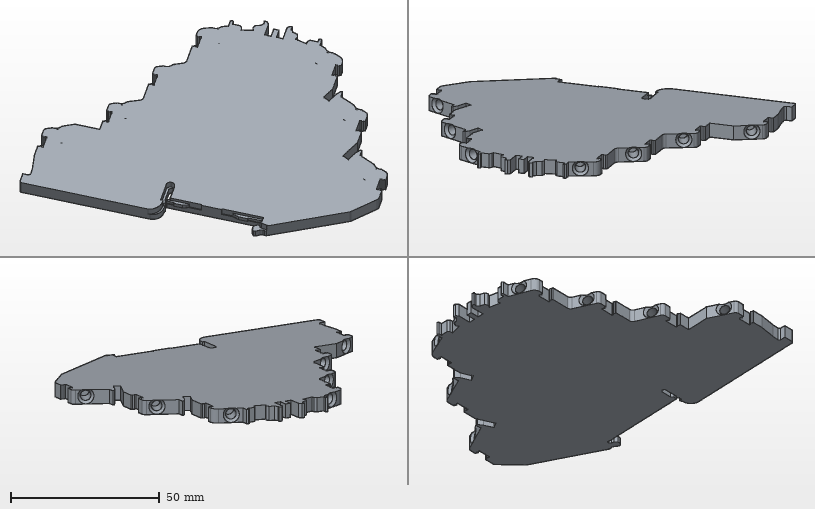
import cadquery as cq
import math

THICKNESS = 5.0
MID_Z = THICKNESS / 2

NOTCH_HEIGHT = 4.7
NOTCH_DEPTH = 1.9
RIDGE_RADIUS = 0.4
RIDGE_INSET = 1.0

FUNNEL_Z = 2.8
FUNNEL_RADIUS = 2.7
FUNNEL_DEPTH = 1.0
WIRE_HOLE_RADIUS = 1.8
WIRE_HOLE_DEPTH = 7.1
FUNNEL_OFFSET = 4.5
TOP_FUNNEL_OFFSET = 6.2

BASE_ROUND = 0.7
SHOULDER_ROUND = 1.5
TOP_SHOULDER_ROUND = 2.6

LEFT_WALLS = [1.5, 19.7, 30.1, 39.7]
RIGHT_WALLS = [118.6, 104.9]
TOP_CENTER_X = 65.1
TOP_RIGHT_WALL = 2 * TOP_CENTER_X - LEFT_WALLS[3]

LEFT_NOTCH_Y = [17.3, 34.0, 54.1, 74.5]
RIGHT_NOTCH_Y = [29.2, 52.6]

MARKER_SLOT_CORNER = (88.6, 64.1)
MARKER_SLOT_STEP = (13.3, -23.6)

BASE_CORNER_RADIUS = 3.8
BASE_END_X = 49.3
RAIL_Y = 6.4
RAIL_RIGHT_X = 83.0
UPPER_RAIL_Y = 6.8
UPPER_RECESS_LEFT = (49.8, 61.8)
UPPER_RECESS_RIGHT = (68.9, 83.4)
SLOT_TOP_Y = 13.2
SLOT_LEFT_X = 48.7
SLOT_RIGHT_X = 50.4
UPPER_SLOT_LEFT_X = 47.9
UPPER_SLOT_RIGHT_X = 50.7
UPPER_SLOT_TOP_Y = 13.6
UPPER_SLOT_BOTTOM_Y = 5.2
FOOT_TOP_Z = 3.9
FOOT_Y = 6.0
BUMP_Y = 5.7
UPPER_SLOT_ROUND = 1.3

UPPER_BASE_START = (44.8, 0)
UPPER_BASE_MIDDLE = (47.3, 1.2)
UPPER_BASE_END = (48.7, 3.9)


def prism(points, z_low, z_high):
    """Straight-sided block over a closed outline."""
    return cq.Workplane("XY").workplane(offset=z_low).polyline(points).close().extrude(z_high - z_low)


def left_shoulder_to_center():
    """Left half of the top edge, from the end of the shoulder to the middle post."""
    return [
        (49.1, 86.3), (49.1, 88.6), (49.6, 89.0), (50.2, 88.7), (50.2, 87.5),
        (52.9, 87.5), (53.6, 86.8), (53.7, 85.7), (57.7, 86.7), (57.3, 87.7),
        (57.7, 88.9), (59.5, 89.5), (60.4, 90.6), (60.1, 91.7), (61.2, 91.7),
        (61.9, 90.7), (61.9, 85.7), (64.1, 85.7), (64.1, 89.0),
    ]


def mirrored(points):
    """The same points on the other side of the top edge's centre line, in running order."""
    return [(2 * TOP_CENTER_X - x, y) for x, y in reversed(points)]


def marker_slot(dx, dy):
    """Inclined marker slot and the pointed tongue beside it, running outward."""
    x, y = MARKER_SLOT_CORNER
    points = [(x, y), (90.7, 63.0), (92.2, 66.5), (93.4, 68.2), (94.0, 68.2), (94.0, 65.9)]
    return [(px + dx, py + dy) for px, py in points]


LEFT_SHOULDERS = [
    ((LEFT_WALLS[0], 25.3), (11.0, 30.1)),
    ((LEFT_WALLS[1], 42.0), (LEFT_WALLS[2], 46.7)),
    ((LEFT_WALLS[2], 62.0), (LEFT_WALLS[3], 66.6)),
]
RIGHT_SHOULDERS = [
    ((RIGHT_WALLS[0], 37.0), marker_slot(*MARKER_SLOT_STEP)[-1]),
    ((RIGHT_WALLS[1], 61.0), marker_slot(0, 0)[-1]),
]
TOP_LEFT_SHOULDER = ((LEFT_WALLS[3], 82.4), (49.1, 86.3))
TOP_RIGHT_SHOULDER = mirrored(TOP_LEFT_SHOULDER)[::-1]

FLANK_CORNERS = [(RIGHT_WALLS[0], 25.1), (111.0, 17.1)]


def housing_outline():
    """Outer outline, clockwise from the lower left corner, closed along the bottom edge."""
    top_left = left_shoulder_to_center()
    points = [(0, 0), (0, 4.0), (2.0, 4.0), (2.6, 4.6), (2.5, 7.1), (LEFT_WALLS[0], 13.2)]
    points += LEFT_SHOULDERS[0]
    points += [(LEFT_WALLS[1], 30.1)]
    points += LEFT_SHOULDERS[1]
    points += LEFT_SHOULDERS[2]
    points += [TOP_LEFT_SHOULDER[0]]
    points += top_left
    points += mirrored(top_left)
    points += [TOP_RIGHT_SHOULDER[0]]
    points += [(TOP_RIGHT_WALL, 68.5)]
    points += marker_slot(0, 0)
    points += [RIGHT_SHOULDERS[1][0], (RIGHT_WALLS[1], 47.5)]
    points += marker_slot(*MARKER_SLOT_STEP)
    points += [RIGHT_SHOULDERS[0][0]]
    points += FLANK_CORNERS
    points += [(85.4, 3.3), (84.7, 3.2), (84.1, 3.4), (83.2, 3.1), (81.8, 2.1), (81.1, 2.1), (80.5, 3.0)]
    points += [(80.5, 4.0), (81.5, 5.0), (82.5, 5.1), (RAIL_RIGHT_X, 5.7), (RAIL_RIGHT_X, RAIL_Y)]
    slot_radius = (SLOT_RIGHT_X - SLOT_LEFT_X) / 2
    slot_shoulder_y = SLOT_TOP_Y - slot_radius
    outline = cq.Workplane("XY").polyline(points)
    outline = outline.lineTo(49.7, RAIL_Y).lineTo(49.7, 7.7).lineTo(SLOT_RIGHT_X, 8.5)
    outline = outline.lineTo(SLOT_RIGHT_X, slot_shoulder_y)
    outline = outline.threePointArc((SLOT_LEFT_X + slot_radius, SLOT_TOP_Y), (SLOT_LEFT_X, slot_shoulder_y))
    outline = outline.lineTo(SLOT_LEFT_X, 7.6).lineTo(49.2, 7.1).lineTo(49.2, 6.4).lineTo(SLOT_LEFT_X, 5.9)
    outline = outline.lineTo(SLOT_LEFT_X, 5.0).lineTo(49.7, 5.0).lineTo(BASE_END_X, BASE_CORNER_RADIUS)
    center_x = BASE_END_X - BASE_CORNER_RADIUS
    diagonal = BASE_CORNER_RADIUS * math.sqrt(0.5)
    outline = outline.threePointArc((center_x + diagonal, BASE_CORNER_RADIUS - diagonal), (center_x, 0))
    return outline.close()


def add_notch(body, wall_x, low_y, inward):
    """Side notch; inward is +1 on a left wall and -1 on a right wall."""
    center_y = low_y + NOTCH_HEIGHT / 2
    notch = cq.Workplane("XY").center(wall_x, center_y).rect(2 * NOTCH_DEPTH, NOTCH_HEIGHT).extrude(THICKNESS)
    ridge_x = wall_x + inward * RIDGE_INSET
    ridge_spots = [(ridge_x, low_y), (ridge_x, low_y + NOTCH_HEIGHT)]
    ridges = cq.Workplane("XY").pushPoints(ridge_spots).circle(RIDGE_RADIUS).extrude(THICKNESS)
    return body.cut(notch).union(ridges)


def wire_entry(outer, inner, offset):
    """Funnel and wire hole square to a shoulder, offset along it from the outer end."""
    dx = inner[0] - outer[0]
    dy = inner[1] - outer[1]
    length = math.hypot(dx, dy)
    along = (dx / length, dy / length)
    side = math.copysign(1, dx)
    into = cq.Vector(along[1] * side, -along[0] * side, 0)
    mouth = cq.Vector(outer[0] + along[0] * offset, outer[1] + along[1] * offset, FUNNEL_Z)
    cone = cq.Solid.makeCone(FUNNEL_RADIUS, WIRE_HOLE_RADIUS, FUNNEL_DEPTH, mouth, into)
    hole = cq.Solid.makeCylinder(WIRE_HOLE_RADIUS, WIRE_HOLE_DEPTH, mouth, into)
    return cq.Workplane("XY").add(cone).union(cq.Workplane("XY").add(hole))


def upper_recess():
    """Set-back of the upper half of the thickness along the rail side, slot and base end."""
    slot_width = UPPER_SLOT_RIGHT_X - UPPER_SLOT_LEFT_X
    slot_height = UPPER_SLOT_TOP_Y - UPPER_SLOT_BOTTOM_Y
    slot = (
        cq.Workplane("XY")
        .workplane(offset=MID_Z)
        .center(UPPER_SLOT_LEFT_X + slot_width / 2, UPPER_SLOT_BOTTOM_Y + slot_height / 2)
        .rect(slot_width, slot_height)
        .extrude(THICKNESS - MID_Z)
        .edges("|Z and >Y")
        .fillet(UPPER_SLOT_ROUND)
    )
    left_x0, left_x1 = UPPER_RECESS_LEFT
    left = prism(
        [(left_x0, 4.7), (left_x1, 4.7), (left_x1, UPPER_RAIL_Y), (left_x0, UPPER_RAIL_Y)], MID_Z, THICKNESS
    )
    right_x0, right_x1 = UPPER_RECESS_RIGHT
    right = prism(
        [
            (right_x0, UPPER_RAIL_Y), (right_x1, UPPER_RAIL_Y), (right_x1, 4.9), (82.8, 4.4),
            (83.5, 4.0), (85.4, 3.8), (85.4, 1.2), (right_x0, 1.2),
        ],
        MID_Z, THICKNESS,
    )
    base_end = (
        cq.Workplane("XY")
        .workplane(offset=MID_Z)
        .moveTo(*UPPER_BASE_START)
        .threePointArc(UPPER_BASE_MIDDLE, UPPER_BASE_END)
        .lineTo(UPPER_BASE_END[0], UPPER_SLOT_BOTTOM_Y)
        .lineTo(left_x0, UPPER_SLOT_BOTTOM_Y)
        .lineTo(left_x0, 0)
        .close()
        .extrude(THICKNESS - MID_Z)
    )
    return slot.union(left).union(right).union(base_end)


def contact_foot(outer_x, bump_outer_x, bump_inner_x, inner_x):
    """Thin foot below the rail seat whose bump slopes back up towards the middle."""
    points = [
        (outer_x, UPPER_RAIL_Y), (outer_x, FOOT_Y), (bump_outer_x, FOOT_Y), (bump_outer_x, BUMP_Y),
        (bump_inner_x, BUMP_Y), (inner_x, RAIL_Y), (inner_x, UPPER_RAIL_Y),
    ]
    return prism(points, MID_Z, FOOT_TOP_Z)


def round_corner(body, corner, radius):
    """Round the upright edge at one corner of the outline."""
    nearest = cq.selectors.NearestToPointSelector((corner[0], corner[1], MID_Z))
    return body.edges("|Z").edges(nearest).fillet(radius)


body = housing_outline().extrude(THICKNESS)

low_shoulders = LEFT_SHOULDERS + RIGHT_SHOULDERS
top_shoulders = [TOP_LEFT_SHOULDER, TOP_RIGHT_SHOULDER]
inner_corners = [inner for _, inner in LEFT_SHOULDERS[1:]]
body = round_corner(body, (0, 0), BASE_ROUND)
for corner in [outer for outer, _ in low_shoulders] + inner_corners + FLANK_CORNERS:
    body = round_corner(body, corner, SHOULDER_ROUND)
for corner, _ in top_shoulders:
    body = round_corner(body, corner, TOP_SHOULDER_ROUND)

for wall_x, low_y in zip(LEFT_WALLS, LEFT_NOTCH_Y):
    body = add_notch(body, wall_x, low_y, 1)
for wall_x, low_y in zip(RIGHT_WALLS, RIGHT_NOTCH_Y):
    body = add_notch(body, wall_x, low_y, -1)
body = add_notch(body, TOP_RIGHT_WALL, LEFT_NOTCH_Y[3], -1)

for outer, inner in low_shoulders:
    body = body.cut(wire_entry(outer, inner, FUNNEL_OFFSET))
for outer, inner in top_shoulders:
    body = body.cut(wire_entry(outer, inner, TOP_FUNNEL_OFFSET))

body = body.cut(upper_recess())
body = body.union(contact_foot(49.7, 52.3, 55.4, 57.5))
result = body.union(contact_foot(RAIL_RIGHT_X, 78.1, 74.9, 72.8))